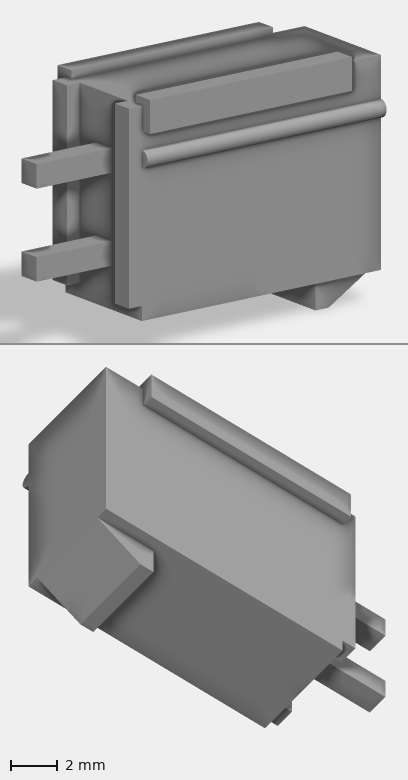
import cadquery as cq

total_width = 6.6
total_length = 16.8
total_height = 11.4

body_width = 5.43
body_front = 4.0
body_bottom = 1.41
body_top = 11.0

rib_width = 1.0
rib_depth = 0.69
rib_bottom = 2.08

rail_width = 1.0
rail_length = 10.8
rail_height = 1.51

pin_size = 1.1
pin_pitch = 4.15
lower_pin_z = 3.91
pin_count = 2

latch_width = 4.2
latch_length = 3.04
latch_flat = 0.7

bead_radius = 0.4
bead_z = 8.64


def box_between(x_min, x_max, y_min, y_max, z_min, z_max):
    """Axis-aligned box from its lower and upper limits."""
    return cq.Workplane("XY").box(
        x_max - x_min, y_max - y_min, z_max - z_min, centered=False
    ).translate((x_min, y_min, z_min))


def make_body():
    half = body_width / 2
    return box_between(-half, half, body_front, total_length, body_bottom, body_top)


def make_rib():
    outer = body_width / 2
    return box_between(
        outer - rib_width, outer, body_front - rib_depth, body_front, rib_bottom, body_top
    )


def make_rail():
    outer = total_width / 2
    return box_between(
        outer - rail_width, outer,
        body_front, body_front + rail_length,
        total_height - rail_height, total_height,
    )


def make_pin(z_center):
    half = pin_size / 2
    return box_between(-half, half, 0, body_front, z_center - half, z_center + half)


def make_latch():
    latch_front = total_length - latch_length
    profile = [
        (total_length, body_bottom),
        (latch_front + latch_flat, 0),
        (latch_front, 0),
        (latch_front, body_bottom),
    ]
    return cq.Workplane("YZ").polyline(profile).close().extrude(latch_width / 2, both=True)


def make_bead():
    return (
        cq.Workplane("XZ", origin=(body_width / 2, total_length, bead_z))
        .circle(bead_radius)
        .extrude(total_length - body_front)
    )


result = make_body().union(make_latch()).union(make_bead())

for side_feature in (make_rib(), make_rail()):
    result = result.union(side_feature).union(side_feature.mirror("YZ"))

for index in range(pin_count):
    result = result.union(make_pin(lower_pin_z + index * pin_pitch))